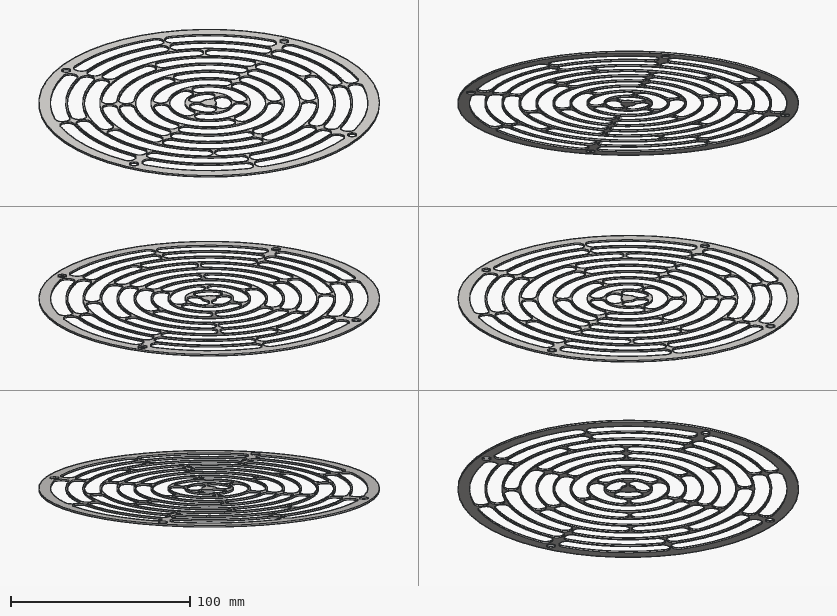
import cadquery as cq

DISC_DIAMETER = 190.0
THICKNESS = 1.0

HOLE_DIAMETER = 5.0
HOLE_CIRCLE_RADIUS = 90.0
HOLE_COUNT = 4

SLOT_WIDTH = 8.5
WALL = 1.0
RING_PITCH = SLOT_WIDTH + WALL
HUB_RADIUS = 4.0
CORNER_RADIUS = 4.0

SPOKE_WIDTH = 1.0
WIDE_SPOKE_WIDTH = 5.0

SPOKE_ANGLES = [
    [90, 210, 330],
    [30, 150, 270],
    [90, 210, 330],
    [30, 90, 150, 270],
    [90, 210, 270, 330],
    [30, 90, 150, 210, 270, 330],
    [0, 60, 120, 180, 240, 300],
    [0, 45, 90, 135, 180, 225, 270, 315],
    [45, 135, 225, 315],
]
WIDE_SPOKE_ANGLES = [0, 90, 180, 270]


def spoke(angle, width):
    """Straight bar running from the disc centre to the rim."""
    length = DISC_DIAMETER / 2
    bar = cq.Workplane("XY").rect(length, width).extrude(THICKNESS)
    return bar.translate((length / 2, 0, 0)).rotate((0, 0, 0), (0, 0, 1), angle)


def slot_ring(inner_radius, narrow_angles, wide_angles):
    """Ring of round-cornered slots, left between the spokes that cross it."""
    outer_radius = inner_radius + SLOT_WIDTH
    slots = cq.Workplane("XY").circle(outer_radius).circle(inner_radius).extrude(THICKNESS)
    for angle in narrow_angles:
        slots = slots.cut(spoke(angle, SPOKE_WIDTH))
    for angle in wide_angles:
        slots = slots.cut(spoke(angle, WIDE_SPOKE_WIDTH))
    return slots.edges("|Z").fillet(CORNER_RADIUS)


def disc():
    """Round plate with its mounting holes."""
    plate = cq.Workplane("XY").circle(DISC_DIAMETER / 2).extrude(THICKNESS)
    holes = (
        cq.Workplane("XY")
        .polarArray(HOLE_CIRCLE_RADIUS, 0, 360, HOLE_COUNT)
        .circle(HOLE_DIAMETER / 2)
        .extrude(THICKNESS)
    )
    return plate.cut(holes)


result = disc()
outermost = len(SPOKE_ANGLES) - 1
for ring, angles in enumerate(SPOKE_ANGLES):
    wide_angles = WIDE_SPOKE_ANGLES if ring == outermost else []
    result = result.cut(slot_ring(HUB_RADIUS + ring * RING_PITCH, angles, wide_angles))